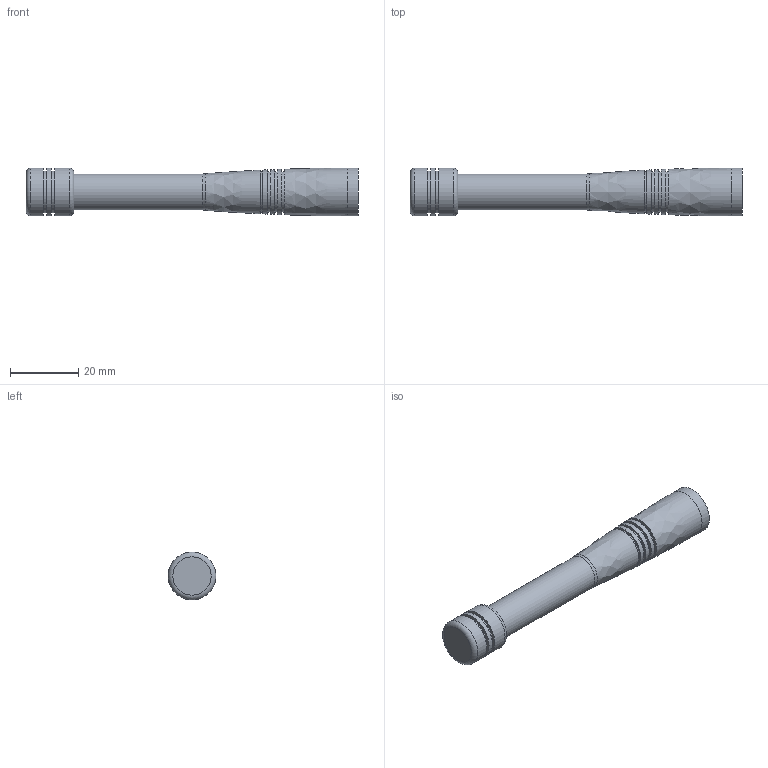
import cadquery as cq
import math

total_length = 97.0
head_length = 14.0
shaft_end = 51.5
swell_start = 52.4
swell_end = 94.0

head_radius = 7.0
end_radius = 7.0
shaft_radius = 5.25

swell_arc_radius = 525.0

head_fillet = 1.4
head_groove_starts = (5.0, 7.35)
head_groove_width = 1.0
head_groove_floor_radius = 6.1

grip_groove_count = 4
grip_groove_first_start = 68.4
grip_groove_pitch = 2.1
grip_groove_width = 0.8
grip_groove_floor_radius = 5.85

cutter_clearance = 1.0


def swell_radius(x):
    """Grip radius at position x on the swell arc."""
    arc_height = math.sqrt(swell_arc_radius**2 - (x - swell_end) ** 2)
    return end_radius - swell_arc_radius + arc_height


def revolve_about_x(profile):
    """Turn a closed XZ profile all the way around the X axis."""
    return profile.revolve(360, (0, 0, 0), (1, 0, 0))


def make_head():
    """Cylindrical cap with both rims rounded."""
    profile = cq.Workplane("XZ").lineTo(0, head_radius).lineTo(head_length, head_radius)
    head = revolve_about_x(profile.lineTo(head_length, 0).close())
    return head.faces("<X or >X").edges().fillet(head_fillet)


def make_handle():
    """Straight shaft, swelling grip and short cylindrical end in one turned profile."""
    start = head_length / 2
    swell_middle = (swell_start + swell_end) / 2
    profile = (
        cq.Workplane("XZ")
        .moveTo(start, 0)
        .lineTo(start, shaft_radius)
        .lineTo(shaft_end, shaft_radius)
        .tangentArcPoint((swell_start, swell_radius(swell_start)), relative=False)
        .threePointArc((swell_middle, swell_radius(swell_middle)), (swell_end, end_radius))
        .lineTo(total_length, end_radius)
        .lineTo(total_length, 0)
        .close()
    )
    return revolve_about_x(profile)


def make_groove_cutter(start, width, floor_radius):
    """Square-sided ring that cuts a groove down to floor_radius."""
    cutter_radius = head_radius + cutter_clearance
    return (
        cq.Workplane("YZ", origin=(start, 0, 0))
        .circle(cutter_radius)
        .circle(floor_radius)
        .extrude(width)
    )


result = make_head().union(make_handle())

for groove_start in head_groove_starts:
    result = result.cut(make_groove_cutter(groove_start, head_groove_width, head_groove_floor_radius))

for groove in range(grip_groove_count):
    groove_start = grip_groove_first_start + groove * grip_groove_pitch
    result = result.cut(make_groove_cutter(groove_start, grip_groove_width, grip_groove_floor_radius))